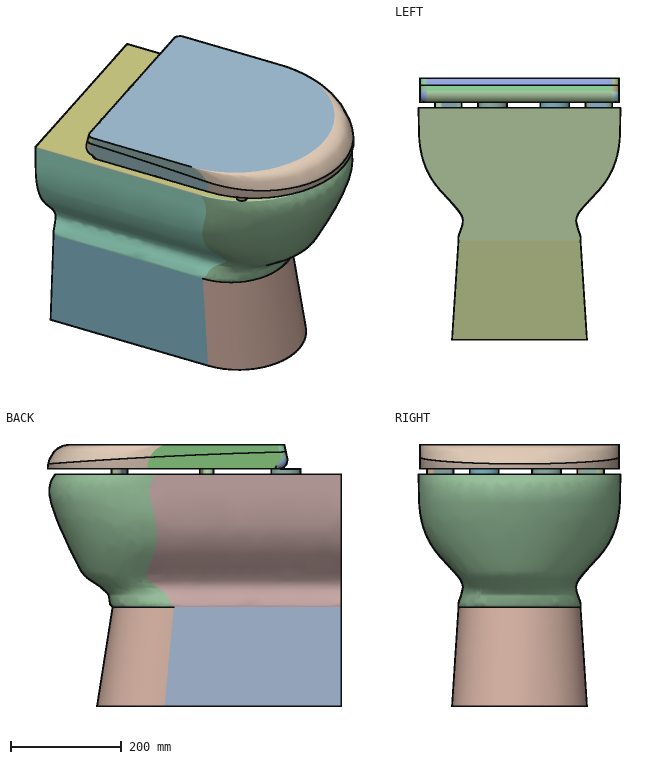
import cadquery as cq
import math

pan_top = 419.5
waist_height = 179.5
rim_radius = 1.5
pedestal_sections = [
    (0.0, 122.0, 441.5),
    (waist_height, 110.5, 413.5),
]
bowl_sections = [
    (waist_height, 110.5, 413.5),
    (199.0, 106.0, 420.5),
    (216.0, 102.5, 436.0),
    (228.0, 106.5, 455.0),
    (260.0, 134.5, 479.0),
    (292.0, 160.0, 495.0),
    (329.0, 175.5, 511.0),
    (366.5, 181.5, 524.5),
    (393.0, 182.0, 528.0),
    (pan_top, 182.5, 517.0),
]

cover_half_width = 180.0
cover_bottom = 429.0
cover_top = 473.0
cover_reach = 531.0
lid_top_reach = 491.0
cover_back = 97.5
cover_back_height = 449.0
lid_top_back = 103.0
seat_bottom_back = 111.0
cover_corner_radius = 11.5
front_section_count = 6
margin = 5.5
parting_back_height = 459.5
parting_middle_x = 313.0
parting_middle_height = 452.0
parting_front_height = 438.0

hardware_offset = -7.5
hinge_disc_radius = 26.5
hinge_disc_x = 100.5
hinge_disc_spread = 56.5
foot_width = 19.0
foot_length = 49.5
foot_spread = 136.0
foot_rows = [(243.5, 12.0), (401.0, -20.0)]

gap_height = cover_bottom - pan_top


def d_section(height, half_width, reach):
    """Closed outline with a straight back at x = 0 and a semicircular front."""
    arc_centre = reach - half_width
    return (
        cq.Workplane("XY", origin=(0, 0, height))
        .moveTo(0, -half_width)
        .lineTo(arc_centre, -half_width)
        .threePointArc((reach, 0), (arc_centre, half_width))
        .lineTo(0, half_width)
        .close()
        .wires()
        .val()
    )


def loft_sections(sections):
    return cq.Workplane(cq.Solid.makeLoft([d_section(*section) for section in sections]))


def make_pan():
    """Pan with its top edge rounded; the flat back keeps two faces, meeting at the waist."""
    bowl = loft_sections(bowl_sections).faces(">Z").edges().fillet(rim_radius)
    return loft_sections(pedestal_sections).union(bowl, clean=False)


def cover_slab():
    """Side profile of seat and lid together, rounded under at the back, at full width."""
    return (
        cq.Workplane("XZ")
        .moveTo(cover_reach + margin, cover_top)
        .lineTo(lid_top_back, cover_top)
        .lineTo(cover_back, cover_back_height)
        .tangentArcPoint((seat_bottom_back, cover_bottom), relative=False)
        .lineTo(cover_reach + margin, cover_bottom)
        .close()
        .extrude(cover_half_width, both=True)
    )


def cover_front():
    """D-shaped block whose front leans back along a quarter ellipse."""
    sections = []
    for i in range(front_section_count + 1):
        angle = math.radians(90 * i / front_section_count)
        height = cover_bottom + (cover_top - cover_bottom) * math.sin(angle)
        reach = lid_top_reach + (cover_reach - lid_top_reach) * math.cos(angle)
        sections.append((height, cover_half_width, reach))
    return loft_sections(sections)


def make_cover():
    """Seat and lid as one block, before they are parted."""
    slab = cover_slab()
    corner_region = cq.selectors.BoxSelector(
        (0, -cover_half_width - margin, cover_bottom),
        (seat_bottom_back, cover_half_width + margin, cover_top),
    )
    back_corners = slab.faces("<Y or >Y").edges(corner_region)
    return back_corners.fillet(cover_corner_radius).intersect(cover_front())


def below_parting():
    """Everything below the curved parting surface between seat and lid."""
    return (
        cq.Workplane("XZ")
        .moveTo(0, 0)
        .lineTo(0, parting_back_height)
        .lineTo(cover_back, parting_back_height)
        .threePointArc((parting_middle_x, parting_middle_height), (cover_reach, parting_front_height))
        .lineTo(cover_reach, 0)
        .close()
        .extrude(cover_half_width + margin, both=True)
    )


def make_foot(x, side, turn):
    """Round-ended foot; the two feet of a row mirror each other."""
    return (
        cq.Workplane("XY")
        .slot2D(foot_length, foot_width, 90 + side * turn)
        .extrude(gap_height)
        .translate((x, hardware_offset + side * foot_spread, pan_top))
    )


def make_seat(cover):
    """Lower part of the cover, standing on four feet that rest on the pan."""
    seat = cover.intersect(below_parting())
    for x, turn in foot_rows:
        for side in (-1, 1):
            seat = seat.union(make_foot(x, side, turn))
    return seat


def make_lid(cover):
    """Upper part of the cover."""
    return cover.cut(below_parting())


def make_hinge_disc(side):
    """Flat disc filling the gap between pan and seat."""
    return (
        cq.Workplane("XY")
        .circle(hinge_disc_radius)
        .extrude(gap_height)
        .translate((hinge_disc_x, hardware_offset + side * hinge_disc_spread, pan_top))
    )


pan = make_pan()
cover = make_cover()
seat = make_seat(cover)
lid = make_lid(cover)
hinge_discs = [make_hinge_disc(side) for side in (-1, 1)]

result = cq.Compound.makeCompound([
    pan.val(),
    seat.val(),
    lid.val(),
    *[disc.val() for disc in hinge_discs],
])